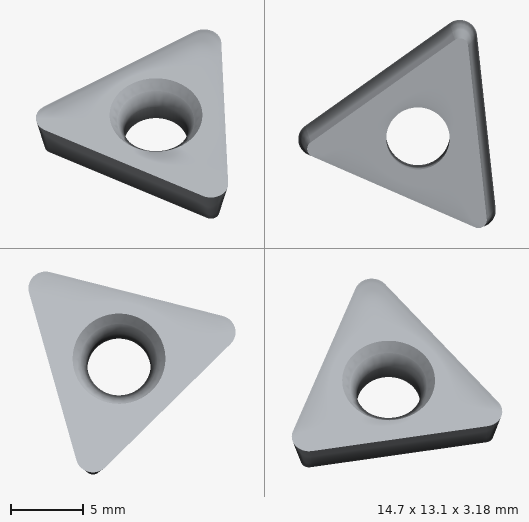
import cadquery as cq
import math

length = 14.74
thickness = 3.18
corner_radius = 1.2
relief_angle = math.radians(11)

mouth_radius = 3.21
bore_radius = 2.2
seat_angle = math.radians(40)
blend_radius = 1.89

corner_spacing = length - 2 * corner_radius
bottom_corner_radius = corner_radius - thickness * math.tan(relief_angle)


def rounded_triangle(z, radius):
    """Wire at height z with the given corner radius about the fixed corner centres."""
    centre_distance = corner_spacing / math.sqrt(3)

    def corner_point(corner_angle, offset_angle):
        direction = math.radians(corner_angle + offset_angle)
        corner = math.radians(corner_angle)
        return (
            centre_distance * math.cos(corner) + radius * math.cos(direction),
            centre_distance * math.sin(corner) + radius * math.sin(direction),
        )

    outline = cq.Workplane("XY").workplane(offset=z)
    outline = outline.moveTo(*corner_point(-30, -60))
    for corner_angle in (-30, 90, 210):
        if corner_angle != -30:
            outline = outline.lineTo(*corner_point(corner_angle, -60))
        outline = outline.threePointArc(corner_point(corner_angle, 0), corner_point(corner_angle, 60))
    return outline.close().val()


def make_body():
    bottom = rounded_triangle(0, bottom_corner_radius)
    top = rounded_triangle(thickness, corner_radius)
    return cq.Workplane(cq.Solid.makeLoft([bottom, top], True))


def make_screw_hole():
    def blend_point(angle):
        """Point on the blend arc where its wall leans by angle from the hole axis."""
        return (
            bore_radius + blend_radius * (1 - math.cos(angle)),
            bore_top + blend_radius * math.sin(angle),
        )

    blend_top_radius = bore_radius + blend_radius * (1 - math.cos(seat_angle))
    seat_depth = (mouth_radius - blend_top_radius) / math.tan(seat_angle)
    bore_top = thickness - seat_depth - blend_radius * math.sin(seat_angle)
    return (
        cq.Workplane("XZ")
        .lineTo(bore_radius, 0)
        .lineTo(bore_radius, bore_top)
        .threePointArc(blend_point(seat_angle / 2), blend_point(seat_angle))
        .lineTo(mouth_radius, thickness)
        .lineTo(0, thickness)
        .close()
        .revolve(360, (0, 0, 0), (0, 1, 0))
    )


result = make_body().cut(make_screw_hole())